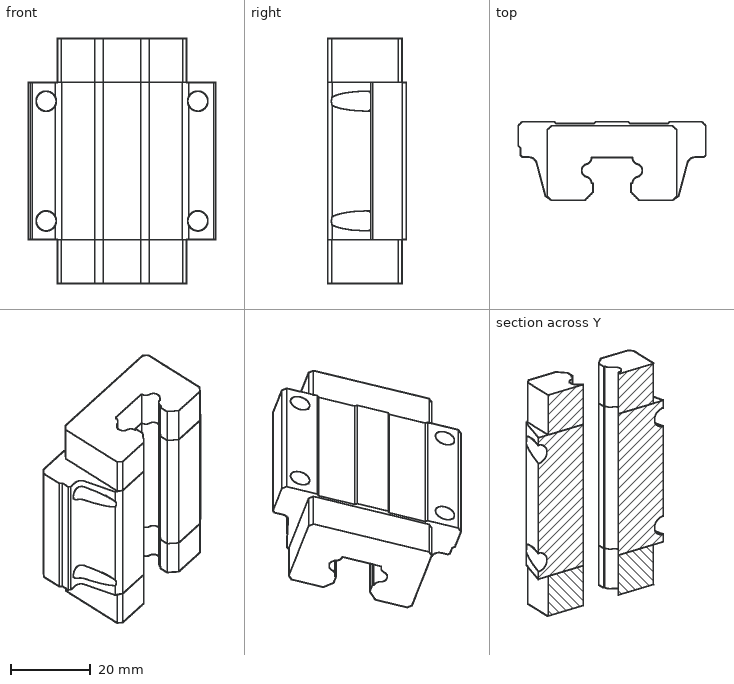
import cadquery as cq
import math

total_length = 61.4
carriage_length = 39.35
carriage_width = 47.0
carriage_height = 19.7
cap_width = 32.3
cap_height = 18.65
cap_chamfer = 1.0

flange_underside = 10.8
flange_top_chamfer = 1.0
flange_bottom_chamfer = 0.5
datum_step_depth = 0.55
datum_step_height = 13.7
flank_foot_half_width = 15.1
flank_foot_height = 1.1
flank_start_half_width = 16.7
flank_corner_half_width = 19.3
flank_fillet = 1.95

relief_depth = 0.4
relief_inner_edge = 4.05
relief_outer_edge = 14.4

hole_diameter = 5.0
hole_spacing_x = 37.95
hole_spacing_z = 29.95

channel_ceiling = 10.7
throat_half_width = 4.7
throat_chamfer = 2.1
ledge_half_width = 5.1
groove_center_height = 7.5
groove_half_width = 7.55
cusp_half_width = 6.5
cusp_offset = 1.55
lip_radius = 1.7

half_width = carriage_width / 2
cap_length = (total_length - carriage_length) / 2
ledge_height = 2 * groove_center_height - channel_ceiling
cusp_low = groove_center_height - cusp_offset
cusp_high = groove_center_height + cusp_offset


def extrude_along_z(profile, z_start, length):
    return profile.extrude(length).translate((0, 0, z_start))


def rail_channel(z_start, length):
    """Void for the rail: chamfered throat and a rounded ball groove on each side."""
    profile = (
        cq.Workplane("XY")
        .moveTo(-throat_half_width - throat_chamfer, 0)
        .lineTo(throat_half_width + throat_chamfer, 0)
        .lineTo(throat_half_width, throat_chamfer)
        .lineTo(throat_half_width, ledge_height)
        .lineTo(ledge_half_width, ledge_height)
        .radiusArc((cusp_half_width, cusp_low), lip_radius)
        .threePointArc((groove_half_width, groove_center_height), (cusp_half_width, cusp_high))
        .radiusArc((ledge_half_width, channel_ceiling), lip_radius)
        .lineTo(-ledge_half_width, channel_ceiling)
        .radiusArc((-cusp_half_width, cusp_high), lip_radius)
        .threePointArc((-groove_half_width, groove_center_height), (-cusp_half_width, cusp_low))
        .radiusArc((-ledge_half_width, ledge_height), lip_radius)
        .lineTo(-throat_half_width, ledge_height)
        .lineTo(-throat_half_width, throat_chamfer)
        .close()
    )
    return extrude_along_z(profile, z_start, length)


def flank_fillet_points():
    """Ends and middle of the arc joining the flange underside to the right flank."""
    run = flank_corner_half_width - flank_start_half_width
    rise = flange_underside - flank_foot_height
    slope_length = math.hypot(run, rise)
    flank_angle = math.atan2(rise, run)
    setback = flank_fillet * math.tan(flank_angle / 2)
    center_x = flank_corner_half_width + setback
    center_y = flange_underside - flank_fillet
    flank_end = (
        flank_corner_half_width - setback * run / slope_length,
        flange_underside - setback * rise / slope_length,
    )
    middle_angle = math.pi / 2 + flank_angle / 2
    middle = (
        center_x + flank_fillet * math.cos(middle_angle),
        center_y + flank_fillet * math.sin(middle_angle),
    )
    flange_end = (center_x, flange_underside)
    return flank_end, middle, flange_end


def mirrored(point):
    return (-point[0], point[1])


def carriage_blank(z_start):
    """Solid flanged section with tapered flanks and a datum step on the -X side."""
    flank_end, fillet_middle, flange_end = flank_fillet_points()
    step_x = -half_width + datum_step_depth
    profile = (
        cq.Workplane("XY")
        .moveTo(-flank_foot_half_width, 0)
        .lineTo(flank_foot_half_width, 0)
        .lineTo(flank_start_half_width, flank_foot_height)
        .lineTo(*flank_end)
        .threePointArc(fillet_middle, flange_end)
        .lineTo(half_width - flange_bottom_chamfer, flange_underside)
        .lineTo(half_width, flange_underside + flange_bottom_chamfer)
        .lineTo(half_width, carriage_height - flange_top_chamfer)
        .lineTo(half_width - flange_top_chamfer, carriage_height)
        .lineTo(-half_width + flange_top_chamfer, carriage_height)
        .lineTo(-half_width, carriage_height - flange_top_chamfer)
        .lineTo(-half_width, datum_step_height)
        .lineTo(step_x, datum_step_height - datum_step_depth)
        .lineTo(step_x, flange_underside + flange_bottom_chamfer)
        .lineTo(step_x + flange_bottom_chamfer, flange_underside)
        .lineTo(*mirrored(flange_end))
        .threePointArc(mirrored(fillet_middle), mirrored(flank_end))
        .lineTo(-flank_start_half_width, flank_foot_height)
        .close()
    )
    return extrude_along_z(profile, z_start, carriage_length)


def face_relief(side, z_start):
    """Shallow relief with sloped sides in the mounting face; side is -1 or 1."""
    floor = carriage_height - relief_depth
    profile = (
        cq.Workplane("XY")
        .moveTo(side * relief_inner_edge, carriage_height)
        .lineTo(side * (relief_inner_edge + relief_depth), floor)
        .lineTo(side * (relief_outer_edge - relief_depth), floor)
        .lineTo(side * relief_outer_edge, carriage_height)
        .close()
    )
    return extrude_along_z(profile, z_start, carriage_length)


def mounting_holes():
    """Four through holes along Y that also scallop the flanks."""
    return (
        cq.Workplane("XZ")
        .rarray(hole_spacing_x, hole_spacing_z, 2, 2)
        .circle(hole_diameter / 2)
        .extrude(-carriage_height)
    )


def make_carriage():
    z_start = -carriage_length / 2
    body = carriage_blank(z_start).cut(rail_channel(z_start, carriage_length))
    for side in (-1, 1):
        body = body.cut(face_relief(side, z_start))
    return body.cut(mounting_holes())


def make_end_cap(z_start):
    block = (
        cq.Workplane("XY")
        .box(cap_width, cap_height, cap_length, centered=(True, False, False))
        .edges("|Z")
        .chamfer(cap_chamfer)
        .translate((0, 0, z_start))
    )
    return block.cut(rail_channel(z_start, cap_length))


carriage = make_carriage()
end_caps = [make_end_cap(z_start) for z_start in (-total_length / 2, carriage_length / 2)]

result = cq.Compound.makeCompound([carriage.val(), *[cap.val() for cap in end_caps]])